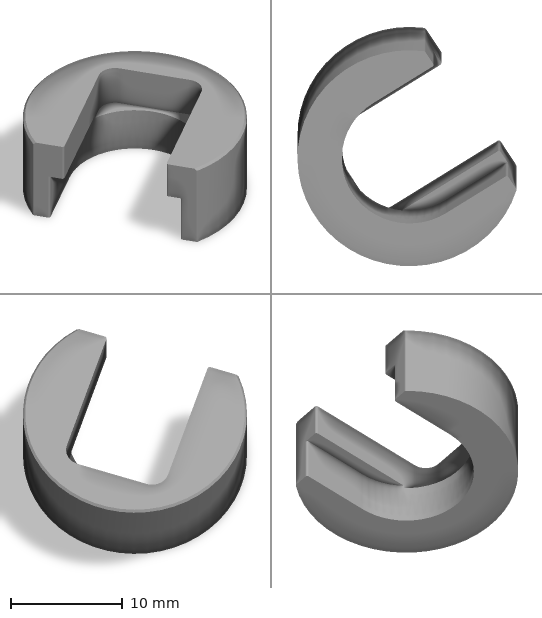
import cadquery as cq

outer_radius = 10.0
height = 8.0
front_y = -6.5
top_chamfer = 0.2
edge_round = 0.2

slot_width = 9.5
slot_end_y = 6.5
slot_corner_radius = 1.5
slot_floor_z = 4.2

pocket_radius = 6.05
pocket_height = 4.5

overrun = 2.0
cutter_front_y = front_y - overrun


def make_body():
    disc = cq.Workplane("XY").circle(outer_radius).extrude(height)
    disc = disc.faces(">Z").edges().chamfer(top_chamfer)
    front_waste = (
        cq.Workplane("XY")
        .rect(2 * outer_radius, 2 * outer_radius)
        .extrude(height)
        .translate((0, front_y - outer_radius, 0))
    )
    return disc.cut(front_waste)


def make_upper_slot():
    length = slot_end_y - cutter_front_y
    return (
        cq.Workplane("XY", origin=(0, slot_end_y - length / 2, slot_floor_z))
        .rect(slot_width, length)
        .extrude(height - slot_floor_z)
        .edges("|Z and >Y")
        .fillet(slot_corner_radius)
    )


def make_lower_slot():
    return (
        cq.Workplane("XY")
        .moveTo(-pocket_radius, cutter_front_y)
        .lineTo(-pocket_radius, 0)
        .threePointArc((0, pocket_radius), (pocket_radius, 0))
        .lineTo(pocket_radius, cutter_front_y)
        .close()
        .extrude(pocket_height)
    )


body = make_body().cut(make_upper_slot()).cut(make_lower_slot())

result = body.faces("<Y").edges("|Z").fillet(edge_round)